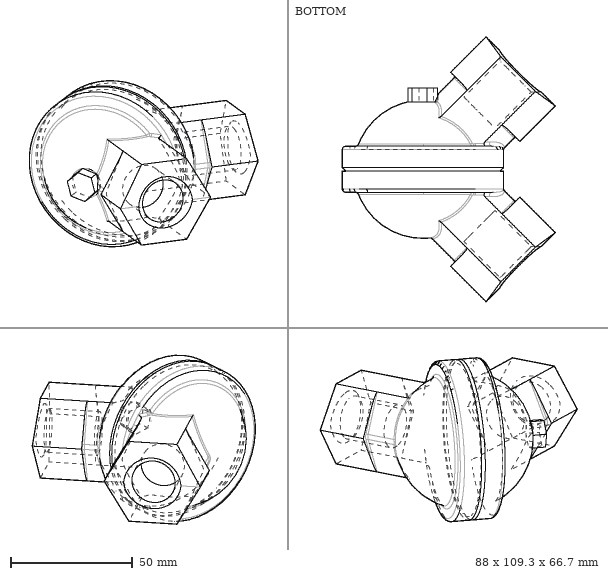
import cadquery as cq
import math

overall_length = 109.3

flange_radius = 66.7 / 2
flange_face = 9.5
flange_round = 1.4
joint_plane = 0.8
joint_chamfer = 1.5
dome_radius = 28.5
dome_root_fillet = 1.4

nozzle_tilt = 45.0
hex_flats = 35.0
hex_corner_radius = hex_flats / math.sqrt(3)
end_ridge = overall_length / math.sqrt(2) - hex_corner_radius
end_fall = 1.5
step_start = 36.4
nozzle_root = 19.7
neck_corner = 17.8
neck_corner_round = 2.7
step_fillet = 0.7
nozzle_root_fillet = 1.1

bore_radius = 18.2 / 2
bore_depth = 24.1
countersink_depth = 3.0

plug_corner_radius = 12.7 / 2
plug_head_end = 33.6
plug_turn = 15.0
plug_seat = math.sqrt(dome_radius**2 - plug_corner_radius**2)

tolerance = 0.001


def hexagon(side_corner):
    """Nozzle cross-section: flats on +Z and -Z, with the two side corners at a given distance."""
    half_flat = hex_corner_radius / 2
    half_height = hex_flats / 2
    return [
        (side_corner, 0),
        (half_flat, half_height),
        (-half_flat, half_height),
        (-side_corner, 0),
        (-half_flat, -half_height),
        (half_flat, -half_height),
    ]


def hexagonal_bar(side_corner, start, end):
    """Bar of nozzle cross-section along X."""
    section = cq.Workplane("YZ", origin=(start, 0, 0)).polyline(hexagon(side_corner)).close()
    return section.extrude(end - start)


def roof_ended_block():
    """Block from the origin along +X whose end slopes from a ridge at Z = 0 to the flats."""
    half_height = hex_flats / 2
    outline = [
        (0, -half_height),
        (end_ridge - end_fall, -half_height),
        (end_ridge, 0),
        (end_ridge - end_fall, half_height),
        (0, half_height),
    ]
    return cq.Workplane("XZ").polyline(outline).close().extrude(hex_corner_radius, both=True)


def make_nozzle():
    """Hexagonal nozzle along +X: full hexagon at the end, neck with cut-back side corners."""
    neck = hexagonal_bar(neck_corner, nozzle_root, step_start)
    neck = neck.edges("|X").edges("<Y or >Y").fillet(neck_corner_round)
    head = hexagonal_bar(hex_corner_radius, step_start, end_ridge).intersect(roof_ended_block())
    nozzle = neck.union(head)
    for side in (-1, 1):
        step_edge = cq.selectors.NearestToPointSelector((step_start, side * neck_corner, 0))
        nozzle = nozzle.edges(step_edge).fillet(step_fillet)
    return nozzle


def make_bore():
    """Blind bore with a 45 degree countersink, along +X."""
    profile = [
        (end_ridge - bore_depth, 0),
        (end_ridge - bore_depth, bore_radius),
        (end_ridge - countersink_depth, bore_radius),
        (end_ridge, bore_radius + countersink_depth),
        (end_ridge, 0),
    ]
    return cq.Workplane("XY").polyline(profile).close().revolve(360, (0, 0, 0), (1, 0, 0))


def tilted(nozzle_feature):
    """Turn a feature built along +X onto the nozzle axis."""
    return nozzle_feature.rotate((0, 0, 0), (0, 0, 1), nozzle_tilt)


def cylinder_along_y(radius, start, end):
    """Cylinder on the Y axis between two Y positions."""
    return cq.Workplane("XZ", origin=(0, start, 0)).circle(radius).extrude(start - end)


def fillet_where(body, is_wanted, radius):
    """Round the edges of a body that pass a test."""
    return body.newObject(body.edges().filter(is_wanted).vals()).fillet(radius)


def make_flanged_dome(joint_face):
    """Flange from Y = joint_face with a dome rising from its outer face."""
    flange = cylinder_along_y(flange_radius, joint_face, flange_face)
    flange = flange.faces(">Y").edges().fillet(flange_round)
    dome = cq.Workplane("XY").sphere(dome_radius)
    dome = dome.intersect(cylinder_along_y(dome_radius, joint_face, dome_radius))

    def is_dome_root(edge):
        middle = edge.positionAt(0.5)
        on_dome = abs(middle.Length - dome_radius) < tolerance
        return on_dome and abs(middle.y - flange_face) < tolerance

    return fillet_where(flange.union(dome), is_dome_root, dome_root_fillet)


def make_half(joint_face):
    """One half on the +Y side: flanged dome and bored nozzle, blended together."""
    flanged_dome = make_flanged_dome(joint_face)
    nozzle = tilted(make_nozzle())
    surfaces = [body.shells().val() for body in (flanged_dome, nozzle)]

    def is_nozzle_root(edge):
        middle = cq.Vertex.makeVertex(*edge.positionAt(0.5).toTuple())
        return all(middle.distance(surface) < tolerance for surface in surfaces)

    half = fillet_where(flanged_dome.union(nozzle), is_nozzle_root, nozzle_root_fillet)
    return half.cut(tilted(make_bore()))


def make_rear_half():
    """Plain half on the +Y side of the joint."""
    return make_half(joint_plane)


def make_front_half():
    """Mirrored half with a chamfered joint edge and the plug seat on its dome."""
    half = make_half(-joint_plane).mirror("XZ")
    joint = cq.selectors.NearestToPointSelector((0, joint_plane, 0))
    half = half.faces(joint).edges().chamfer(joint_chamfer)
    return half.cut(cylinder_along_y(plug_corner_radius, -plug_head_end, -plug_seat))


def make_plug():
    """Hexagonal plug head standing on the seat."""
    head = cq.Workplane("XZ", origin=(0, -plug_seat, 0)).polygon(6, 2 * plug_corner_radius)
    head = head.extrude(plug_head_end - plug_seat)
    return head.rotate((0, 0, 0), (0, 1, 0), plug_turn)


rear_half = make_rear_half()
front_half = make_front_half()
plug = make_plug()

result = cq.Compound.makeCompound([rear_half.val(), front_half.val(), plug.val()])